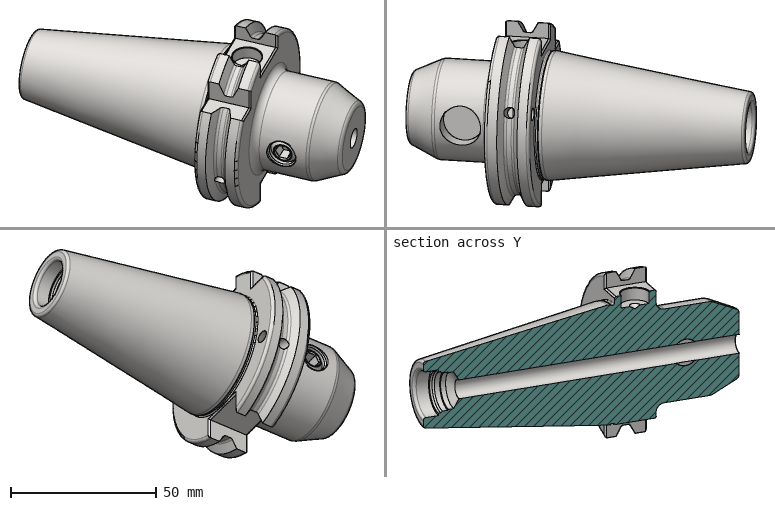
import cadquery as cq
import math

TOTAL_LENGTH = 118.4

TAPER_RATIO = 7 / 24
GAUGE_X = 68.9
GAUGE_RADIUS = 22.4
TAPER_END_FILLET = 1.1
RIM_END_X = 70.1
RELIEF_RADIUS = 22.0
RELIEF_FILLET = 0.5

FLANGE_START_X = 71.5
FLANGE_END_X = 87.4
FLANGE_DIAMETER = 63.3
FLANGE_FILLET = 1.1
GROOVE_X = 79.3
GROOVE_FLOOR_RADIUS = 28.1
GROOVE_TOP_HALF_WIDTH = 3.5
GROOVE_HALF_ANGLE = 30
GROOVE_FILLET = 1.1

SLOT_WIDTH = 16.2
TOP_SLOT_FLOOR_Z = 25.1
BOTTOM_SLOT_FLOOR_Z = -22.6
NOTCH_OFFSET = 18.4
SLOT_EDGE_CHAMFER = 0.6

DATA_POCKET_RADIUS = 5.1
DATA_POCKET_DEPTH = 4.6
DATA_POCKET_CHAMFER = 0.2
CENTRE_MARK_RADIUS = 1.9
DRILL_POINT_HALF_ANGLE = 59

COOLANT_ANGLE = 19.6
COOLANT_BORE_RADIUS = 2.1
COOLANT_ENTRY_RADIUS = 26.8
COOLANT_SLOPE = 35
RADIAL_BORE_RADIUS = 1.9

NOSE_RADIUS = 17.5
NECK_START_RADIUS = 19.9
NECK_END_X = 90.2
NOSE_CONE_START_X = 107.9
NOSE_END_RADIUS = 12.5
NOSE_SHOULDER_FILLET = 2.4
NOSE_END_FILLET = 1.9

MOUTH_RADIUS = 8.4
MOUTH_FILLET = 1.1
MOUTH_END_X = 5.7
STEP_RADIUS = 7.6
STEP_END_X = 6.6
THREAD_RADIUS = 7.0
THREAD_END_X = 9.2
CORE_RADIUS = 6.7
CORE_END_X = 11.4
THROUGH_RADIUS = 3.4

SCREW_X = 98.3
SCREW_RADIUS = 4.9
SCREW_HOLE_CHAMFER = 0.5
SCREW_HEAD_Y = -16.0
SCREW_TIP_Y = -4.1
SCREW_CHAMFER = 1.4
HEX_ACROSS_FLATS = 5.0
HEX_DEPTH = 4.7
SOCKET_RIM_CHAMFER = 0.5
BALANCE_POCKET_RADIUS = 7.1
BALANCE_POCKET_FLOOR_Y = 10.7

FLANGE_RADIUS = FLANGE_DIAMETER / 2
SMALL_END_RADIUS = GAUGE_RADIUS - GAUGE_X * TAPER_RATIO / 2
SLOPE_TANGENT = math.tan(math.radians(COOLANT_SLOPE))
DRILL_TANGENT = math.tan(math.radians(DRILL_POINT_HALF_ANGLE))


def revolved(points):
    """Revolve a closed (x, radius) outline about the X axis."""
    return cq.Workplane("XZ").polyline(points).close().revolve(360, (0, 0, 0), (1, 0, 0))


def circle_at(x, radius):
    """Select the circular edge of the given radius centred on the axis at x."""
    reach = radius + 0.06
    gap = 0.06
    box = cq.selectors.BoxSelector((x - gap, -reach, -reach), (x + gap, reach, reach), boundingbox=True)
    return box


def make_taper():
    relief_start_x = RIM_END_X + GAUGE_RADIUS - RELIEF_RADIUS
    taper = revolved([
        (0, 0),
        (0, SMALL_END_RADIUS),
        (GAUGE_X, GAUGE_RADIUS),
        (RIM_END_X, GAUGE_RADIUS),
        (relief_start_x, RELIEF_RADIUS),
        (FLANGE_START_X, RELIEF_RADIUS),
        (FLANGE_START_X, 0),
    ])
    return taper.edges(circle_at(0, SMALL_END_RADIUS)).fillet(TAPER_END_FILLET)


def make_flange():
    """Grooved disc with rounded rims, before its slots are cut."""
    flange = revolved([
        (FLANGE_START_X, 0),
        (FLANGE_START_X, FLANGE_RADIUS),
        (FLANGE_END_X, FLANGE_RADIUS),
        (FLANGE_END_X, 0),
    ])
    flange = flange.edges("%CIRCLE").fillet(FLANGE_FILLET)
    return flange.cut(make_groove())


def make_groove():
    wall_run = (FLANGE_RADIUS - GROOVE_FLOOR_RADIUS) * math.tan(math.radians(GROOVE_HALF_ANGLE))
    floor_half_width = GROOVE_TOP_HALF_WIDTH - wall_run
    ring = revolved([
        (GROOVE_X - GROOVE_TOP_HALF_WIDTH, FLANGE_RADIUS),
        (GROOVE_X - floor_half_width, GROOVE_FLOOR_RADIUS),
        (GROOVE_X + floor_half_width, GROOVE_FLOOR_RADIUS),
        (GROOVE_X + GROOVE_TOP_HALF_WIDTH, FLANGE_RADIUS),
    ])
    for x in (GROOVE_X - floor_half_width, GROOVE_X + floor_half_width):
        ring = ring.edges(circle_at(x, GROOVE_FLOOR_RADIUS)).fillet(GROOVE_FILLET)
    return ring


def slot_cutter(y_min, y_max, z_min, z_max):
    """Box through the flange along X that flares by the edge chamfer at both flange faces."""
    length = FLANGE_END_X - FLANGE_START_X
    width = y_max - y_min
    height = z_max - z_min
    centre = ((y_min + y_max) / 2, (z_min + z_max) / 2)
    cutter = cq.Workplane("YZ", origin=(FLANGE_START_X, 0, 0)).center(*centre).rect(width, height).extrude(length)
    for x, direction in ((FLANGE_START_X, 1), (FLANGE_END_X, -1)):
        flare = (
            cq.Workplane("YZ", origin=(x, 0, 0))
            .center(*centre)
            .rect(width + 2 * SLOT_EDGE_CHAMFER, height + 2 * SLOT_EDGE_CHAMFER)
            .workplane(offset=direction * SLOT_EDGE_CHAMFER)
            .rect(width, height)
            .loft()
        )
        cutter = cutter.union(flare)
    return cutter


def cut_slots(holder):
    half_width = SLOT_WIDTH / 2
    outside = FLANGE_RADIUS + 1.2
    holder = holder.cut(slot_cutter(-half_width, half_width, TOP_SLOT_FLOOR_Z, outside))
    holder = holder.cut(slot_cutter(-half_width, half_width, -outside, BOTTOM_SLOT_FLOOR_Z))
    return holder.cut(slot_cutter(-outside, -NOTCH_OFFSET, NOTCH_OFFSET, outside))


def make_nose():
    """Nose that leaves the flange through a concave neck and ends in a rounded cone."""
    nose = (
        cq.Workplane("XZ")
        .moveTo(FLANGE_END_X, 0)
        .lineTo(TOTAL_LENGTH, 0)
        .lineTo(TOTAL_LENGTH, NOSE_END_RADIUS)
        .lineTo(NOSE_CONE_START_X, NOSE_RADIUS)
        .lineTo(NECK_END_X, NOSE_RADIUS)
        .tangentArcPoint((FLANGE_END_X, NECK_START_RADIUS), relative=False)
        .close()
        .revolve(360, (0, 0, 0), (1, 0, 0))
    )
    nose = nose.edges(circle_at(NOSE_CONE_START_X, NOSE_RADIUS)).fillet(NOSE_SHOULDER_FILLET)
    return nose.edges(circle_at(TOTAL_LENGTH, NOSE_END_RADIUS)).fillet(NOSE_END_FILLET)


def make_axial_bore():
    cone_end_x = CORE_END_X + (CORE_RADIUS - THROUGH_RADIUS) / DRILL_TANGENT
    mouth_outer_radius = MOUTH_RADIUS + MOUTH_FILLET
    arc_offset = MOUTH_FILLET * (1 - math.sqrt(0.5))
    return (
        cq.Workplane("XZ")
        .moveTo(0, 0)
        .lineTo(0, mouth_outer_radius)
        .threePointArc((arc_offset, MOUTH_RADIUS + arc_offset), (MOUTH_FILLET, MOUTH_RADIUS))
        .lineTo(MOUTH_END_X, MOUTH_RADIUS)
        .lineTo(MOUTH_END_X, STEP_RADIUS)
        .lineTo(STEP_END_X, STEP_RADIUS)
        .lineTo(STEP_END_X + STEP_RADIUS - THREAD_RADIUS, THREAD_RADIUS)
        .lineTo(THREAD_END_X, THREAD_RADIUS)
        .lineTo(THREAD_END_X + THREAD_RADIUS - CORE_RADIUS, CORE_RADIUS)
        .lineTo(CORE_END_X, CORE_RADIUS)
        .lineTo(cone_end_x, THROUGH_RADIUS)
        .lineTo(TOTAL_LENGTH, THROUGH_RADIUS)
        .lineTo(TOTAL_LENGTH, 0)
        .close()
        .revolve(360, (0, 0, 0), (1, 0, 0))
    )


def make_data_pocket():
    """Flat-bottomed pocket with a chamfered rim and a conical centre mark in its floor."""
    floor_z = TOP_SLOT_FLOOR_Z - DATA_POCKET_DEPTH
    rim_radius = DATA_POCKET_RADIUS + DATA_POCKET_CHAMFER
    return (
        cq.Workplane("XZ", origin=(GROOVE_X, 0, 0))
        .polyline([
            (0, TOP_SLOT_FLOOR_Z),
            (rim_radius, TOP_SLOT_FLOOR_Z),
            (DATA_POCKET_RADIUS, TOP_SLOT_FLOOR_Z - DATA_POCKET_CHAMFER),
            (DATA_POCKET_RADIUS, floor_z),
            (CENTRE_MARK_RADIUS, floor_z),
            (0, floor_z - CENTRE_MARK_RADIUS / DRILL_TANGENT),
        ])
        .close()
        .revolve(360, (0, 0, 0), (0, 1, 0))
    )


def make_coolant_channel():
    """Sloping bore from the flange face that meets a radial bore under the groove, on the +Y side."""
    meeting_radius = COOLANT_ENTRY_RADIUS - (GROOVE_X - FLANGE_START_X) * SLOPE_TANGENT
    entry = cq.Vector(FLANGE_START_X, COOLANT_ENTRY_RADIUS, 0)
    meeting = cq.Vector(GROOVE_X, meeting_radius, 0)
    direction = (meeting - entry).normalized()
    start = entry - direction * (2 * COOLANT_BORE_RADIUS)
    sloping = cq.Solid.makeCylinder(COOLANT_BORE_RADIUS, (meeting - start).Length, start, direction)
    radial_length = FLANGE_RADIUS - meeting_radius
    radial = cq.Solid.makeCylinder(RADIAL_BORE_RADIUS, radial_length, meeting, cq.Vector(0, 1, 0))
    channel = cq.Workplane(sloping).union(cq.Workplane(radial))
    return channel.rotate((0, 0, 0), (1, 0, 0), COOLANT_ANGLE)


def make_screw_hole():
    """Round hole from the -Y side of the nose into the axial bore, widened at the curved surface."""
    hole = cq.Workplane("XZ", origin=(SCREW_X, 0, 0)).circle(SCREW_RADIUS).extrude(NOSE_RADIUS)
    rim_radius = SCREW_RADIUS + SCREW_HOLE_CHAMFER
    rim = (
        cq.Workplane("XZ", origin=(SCREW_X, SCREW_HEAD_Y, 0))
        .circle(SCREW_RADIUS)
        .workplane(offset=SCREW_HOLE_CHAMFER)
        .circle(rim_radius)
        .loft()
        .faces("<Y")
        .workplane()
        .circle(rim_radius)
        .extrude(NOSE_RADIUS + SCREW_HEAD_Y)
    )
    return hole.union(rim)


def make_balance_pocket():
    depth = NOSE_RADIUS - BALANCE_POCKET_FLOOR_Y
    return (
        cq.Workplane("XZ", origin=(SCREW_X, NOSE_RADIUS, 0))
        .circle(BALANCE_POCKET_RADIUS)
        .extrude(depth)
    )


def make_holder():
    holder = make_taper().union(make_flange())
    holder = holder.edges(circle_at(FLANGE_START_X, RELIEF_RADIUS)).fillet(RELIEF_FILLET)
    holder = cut_slots(holder).union(make_nose())
    holder = holder.cut(make_axial_bore())
    holder = holder.cut(make_data_pocket())
    channel = make_coolant_channel()
    for turn in (0, 180):
        holder = holder.cut(channel.rotate((0, 0, 0), (1, 0, 0), turn))
    holder = holder.cut(make_screw_hole())
    return holder.cut(make_balance_pocket())


def make_clamping_screw():
    """Headless screw with a chamfered outer end and a hexagon socket, corners along X."""
    length = SCREW_TIP_Y - SCREW_HEAD_Y
    screw = (
        cq.Workplane("XZ", origin=(SCREW_X, SCREW_TIP_Y, 0))
        .circle(SCREW_RADIUS)
        .extrude(length)
        .faces("<Y")
        .chamfer(SCREW_CHAMFER)
    )
    corner_diameter = HEX_ACROSS_FLATS / math.cos(math.radians(30))
    head_plane = cq.Workplane("XZ", origin=(SCREW_X, SCREW_HEAD_Y, 0))
    socket = head_plane.polygon(6, corner_diameter).extrude(-HEX_DEPTH)
    rim_radius = corner_diameter / 2 + SOCKET_RIM_CHAMFER / 2
    countersink = (
        head_plane.circle(rim_radius)
        .workplane(offset=-SOCKET_RIM_CHAMFER)
        .circle(rim_radius - SOCKET_RIM_CHAMFER)
        .loft()
    )
    return screw.cut(socket).cut(countersink)


holder = make_holder()
clamping_screw = make_clamping_screw()
result = cq.Compound.makeCompound([holder.val(), clamping_screw.val()])